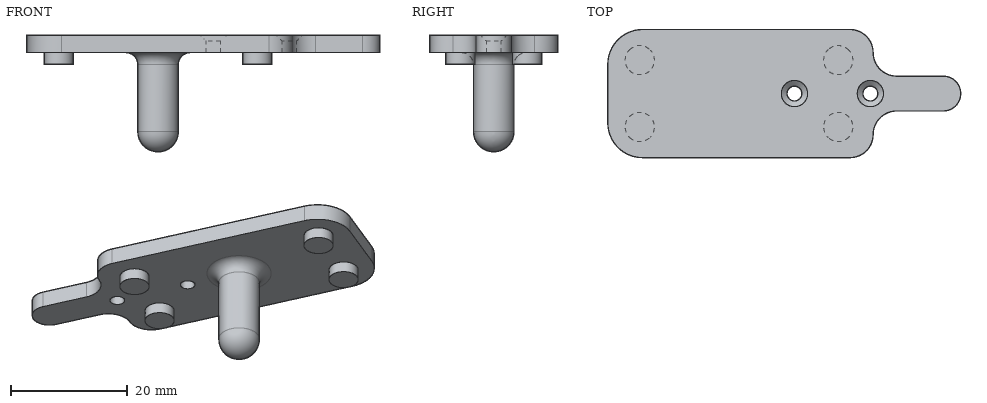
import cadquery as cq
import math

COS_45 = math.cos(math.radians(45))

PLATE_THICKNESS = 3.0
BODY_LENGTH = 45.5
BODY_WIDTH = 22.0
TOTAL_LENGTH = 60.5
TONGUE_WIDTH = 6.0
REAR_CORNER_RADIUS = 6.0
SHOULDER_RADIUS = (BODY_WIDTH - TONGUE_WIDTH) / 4

HOLE_POSITIONS_X = (32.0, 45.0)
HOLE_DIAMETER = 2.5
COUNTERSINK_DIAMETER = 4.5
COUNTERSINK_ANGLE = 90.0

PIN_X = 22.5
PIN_DIAMETER = 7.0
OVERALL_HEIGHT = 20.0
PIN_LENGTH = OVERALL_HEIGHT - PLATE_THICKNESS
PIN_ROOT_RADIUS = 2.0

BOSS_DIAMETER = 5.0
BOSS_HEIGHT = 2.0
BOSS_SPACING_X = 34.0
BOSS_SPACING_Y = 11.45


def make_plate():
    """Plate outline extruded upward, with the -X edge at X = 0."""
    body = (
        cq.Workplane("XY")
        .box(BODY_LENGTH, BODY_WIDTH, PLATE_THICKNESS, centered=(False, True, False))
        .edges("|Z and <X").fillet(REAR_CORNER_RADIUS)
        .edges("|Z and >X").fillet(SHOULDER_RADIUS)
    )
    half_tongue = TONGUE_WIDTH / 2
    flare_end_x = BODY_LENGTH + SHOULDER_RADIUS
    flare_half_width = half_tongue + SHOULDER_RADIUS
    tip_center_x = TOTAL_LENGTH - half_tongue
    arc_inset = SHOULDER_RADIUS * (1 - COS_45)
    tongue = (
        cq.Workplane("XY")
        .moveTo(BODY_LENGTH, -flare_half_width)
        .threePointArc(
            (BODY_LENGTH + arc_inset, -half_tongue - arc_inset),
            (flare_end_x, -half_tongue),
        )
        .lineTo(tip_center_x, -half_tongue)
        .threePointArc((TOTAL_LENGTH, 0), (tip_center_x, half_tongue))
        .lineTo(flare_end_x, half_tongue)
        .threePointArc(
            (BODY_LENGTH + arc_inset, half_tongue + arc_inset),
            (BODY_LENGTH, flare_half_width),
        )
        .close()
        .extrude(PLATE_THICKNESS)
    )
    return body.union(tongue)


def cut_countersunk_holes(plate):
    """Through holes countersunk from the top face."""
    return (
        plate.faces(">Z")
        .workplane(origin=(0, 0, PLATE_THICKNESS))
        .pushPoints([(x, 0) for x in HOLE_POSITIONS_X])
        .cskHole(HOLE_DIAMETER, COUNTERSINK_DIAMETER, COUNTERSINK_ANGLE)
    )


def make_pin():
    """Revolved pin with a flared root and a hemispherical nose."""
    radius = PIN_DIAMETER / 2
    nose_center_z = -PIN_LENGTH + radius
    root_inset = PIN_ROOT_RADIUS * (1 - COS_45)
    nose_offset = radius * COS_45
    return (
        cq.Workplane("XZ")
        .moveTo(0, 0)
        .lineTo(radius + PIN_ROOT_RADIUS, 0)
        .threePointArc((radius + root_inset, -root_inset), (radius, -PIN_ROOT_RADIUS))
        .lineTo(radius, nose_center_z)
        .threePointArc((nose_offset, nose_center_z - nose_offset), (0, -PIN_LENGTH))
        .close()
        .revolve(360, (0, 0), (0, 1))
        .translate((PIN_X, 0, 0))
    )


def make_bosses():
    """Four short round bosses hanging from the underside."""
    return (
        cq.Workplane("XY")
        .center(PIN_X, 0)
        .rect(BOSS_SPACING_X, BOSS_SPACING_Y, forConstruction=True)
        .vertices()
        .circle(BOSS_DIAMETER / 2)
        .extrude(-BOSS_HEIGHT)
    )


result = cut_countersunk_holes(make_plate()).union(make_pin()).union(make_bosses()).clean()